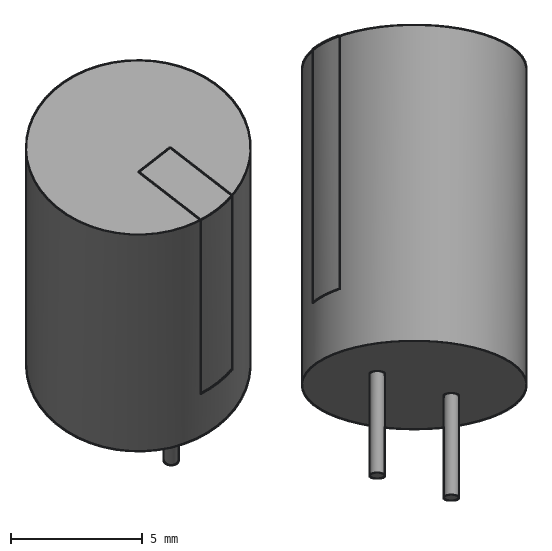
import cadquery as cq

total_height = 17.24
can_diameter = 8.52
can_radius = can_diameter / 2

stripe_thickness = 0.02
stripe_width = 1.69
stripe_inner_x = 0.86
stripe_drop = 10.45

lead_diameter = 0.59
lead_length = 4.19
lead_spacing = 3.52

can_bottom = lead_length
can_top = total_height - stripe_thickness


def cylinder(radius, bottom, top):
    """Vertical cylinder on the Z axis between two heights."""
    return cq.Workplane("XY").workplane(offset=bottom).circle(radius).extrude(top - bottom)


def make_can():
    return cylinder(can_radius, can_bottom, can_top)


def make_stripe(can):
    """Band wrapped over the can's top edge, with its outer side concentric with the can."""
    outer_radius = can_radius + stripe_thickness
    stripe_bottom = total_height - stripe_drop
    envelope = cylinder(outer_radius, stripe_bottom, total_height)
    band = (
        cq.Workplane("XY")
        .box(outer_radius - stripe_inner_x, stripe_width, stripe_drop, centered=(False, True, False))
        .translate((stripe_inner_x, 0, stripe_bottom))
    )
    return envelope.intersect(band).cut(can)


def make_lead(x):
    """Straight round lead that ends against the can's bottom face."""
    return cylinder(lead_diameter / 2, 0, can_bottom).translate((x, 0, 0))


can = make_can()
stripe = make_stripe(can)
leads = [make_lead(side * lead_spacing / 2) for side in (-1, 1)]

result = cq.Compound.makeCompound([can.val(), stripe.val(), *[lead.val() for lead in leads]])